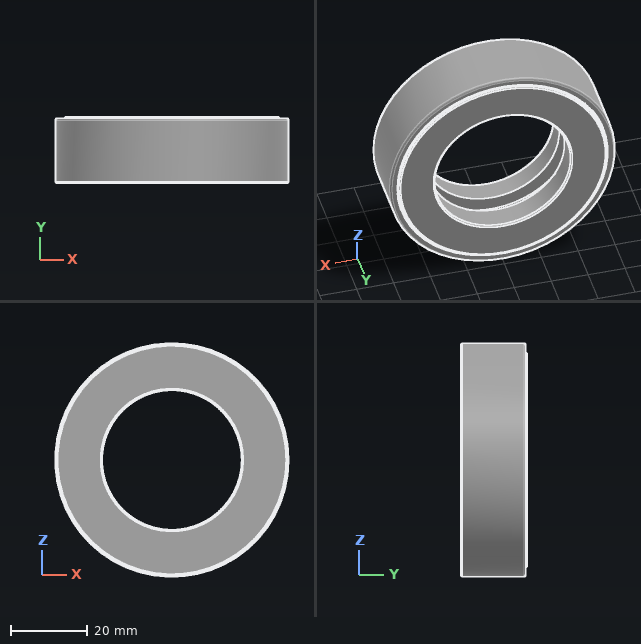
import cadquery as cq
import math

OUTER_R = 30.55
WIDTH = 17.5
FRONT_Y = -WIDTH / 2
BACK_Y = WIDTH / 2
BORE_R = 36.5 / 2
BORE_CHAMFER = 0.4

SHELL_MOUTH_R = 60.1 / 2
SHELL_LIP_R = 57.0 / 2
SHELL_BACK_STEP = 0.4
SHELL_BACK_Y = BACK_Y - SHELL_BACK_STEP
SHELL_BACK_FILLET = 0.55
LIP_THICKNESS = 0.9
MOUTH_CHAMFER = 0.4

FRONT_WASHER_R = 59.8 / 2
FRONT_WASHER_WIDTH = 6.2
FRONT_WASHER_BACK_Y = FRONT_Y + FRONT_WASHER_WIDTH
BACK_WASHER_R = 28.1
BACK_WASHER_BORE_R = 18.4
BACK_WASHER_FRONT_Y = 2.25
BACK_WASHER_CHAMFER = 0.35

RACEWAY_R = 23.85
RACEWAY_HALF_WIDTH = 1.8
RACEWAY_DEPTH = 0.55


def revolve_about_y(profile):
    """Turn a closed (radius, y) profile into a ring about the Y axis."""
    return profile.close().revolve(360, (0, 0, 0), (0, 1, 0))


def make_shell():
    fillet_mid = SHELL_BACK_FILLET * (1 - math.sqrt(0.5))
    return revolve_about_y(
        cq.Workplane("XY")
        .moveTo(SHELL_MOUTH_R, FRONT_Y)
        .lineTo(OUTER_R - MOUTH_CHAMFER, FRONT_Y)
        .lineTo(OUTER_R, FRONT_Y + MOUTH_CHAMFER)
        .lineTo(OUTER_R, SHELL_BACK_Y - SHELL_BACK_FILLET)
        .threePointArc(
            (OUTER_R - fillet_mid, SHELL_BACK_Y - fillet_mid),
            (OUTER_R - SHELL_BACK_FILLET, SHELL_BACK_Y),
        )
        .lineTo(SHELL_LIP_R, SHELL_BACK_Y)
        .lineTo(SHELL_LIP_R, SHELL_BACK_Y - LIP_THICKNESS)
        .lineTo(SHELL_MOUTH_R, SHELL_BACK_Y - LIP_THICKNESS)
    )


def make_front_washer():
    return revolve_about_y(
        cq.Workplane("XY")
        .moveTo(BORE_R + BORE_CHAMFER, FRONT_Y)
        .lineTo(FRONT_WASHER_R, FRONT_Y)
        .lineTo(FRONT_WASHER_R, FRONT_WASHER_BACK_Y)
        .lineTo(RACEWAY_R + RACEWAY_HALF_WIDTH, FRONT_WASHER_BACK_Y)
        .threePointArc(
            (RACEWAY_R, FRONT_WASHER_BACK_Y - RACEWAY_DEPTH),
            (RACEWAY_R - RACEWAY_HALF_WIDTH, FRONT_WASHER_BACK_Y),
        )
        .lineTo(BORE_R, FRONT_WASHER_BACK_Y)
        .lineTo(BORE_R, FRONT_Y + BORE_CHAMFER)
    )


def make_back_washer():
    return revolve_about_y(
        cq.Workplane("XY")
        .moveTo(BACK_WASHER_BORE_R, BACK_WASHER_FRONT_Y)
        .lineTo(RACEWAY_R - RACEWAY_HALF_WIDTH, BACK_WASHER_FRONT_Y)
        .threePointArc(
            (RACEWAY_R, BACK_WASHER_FRONT_Y + RACEWAY_DEPTH),
            (RACEWAY_R + RACEWAY_HALF_WIDTH, BACK_WASHER_FRONT_Y),
        )
        .lineTo(BACK_WASHER_R, BACK_WASHER_FRONT_Y)
        .lineTo(BACK_WASHER_R, BACK_Y - BACK_WASHER_CHAMFER)
        .lineTo(BACK_WASHER_R - BACK_WASHER_CHAMFER, BACK_Y)
        .lineTo(BACK_WASHER_BORE_R + BORE_CHAMFER, BACK_Y)
        .lineTo(BACK_WASHER_BORE_R, BACK_Y - BORE_CHAMFER)
    )


shell = make_shell()
front_washer = make_front_washer()
back_washer = make_back_washer()

result = cq.Compound.makeCompound([shell.val(), front_washer.val(), back_washer.val()])